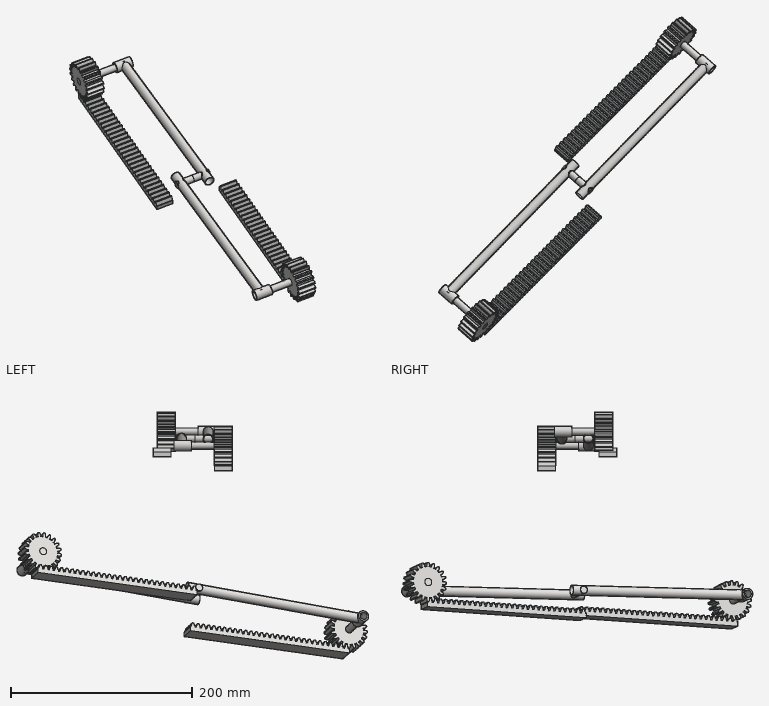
import cadquery as cq
import math


TEETH = 20
PITCH_RADIUS = 20.0
MODULE = 2 * PITCH_RADIUS / TEETH
ADDENDUM = MODULE
DEDENDUM = 1.25 * MODULE
PRESSURE_ANGLE = math.radians(20)
TOOTH_PITCH = math.pi * MODULE
TIP_RADIUS = PITCH_RADIUS + ADDENDUM
ROOT_RADIUS = PITCH_RADIUS - DEDENDUM
BASE_RADIUS = PITCH_RADIUS * math.cos(PRESSURE_ANGLE)

GEAR_WIDTH = 20.2
GEAR_1_TURN = math.radians(90)
GEAR_2_TURN = math.radians(94)
GEAR_2_X = 387.0
GEAR_2_Y = 63.0
GEAR_2_Z = 15.5

TOTAL_WIDTH = 87.5
RACK_TEETH = 30
RACK_LENGTH = RACK_TEETH * TOOTH_PITCH
RACK_WIDTH = 20.0
RACK_HEIGHT = 9.7
RACK_TIP_Z = -PITCH_RADIUS + ADDENDUM
RACK_ROOT_Z = -PITCH_RADIUS - DEDENDUM
RACK_BOTTOM_Z = RACK_TIP_Z - RACK_HEIGHT
RACK_1_LEFT = -0.65
RACK_2_RIGHT = TOOTH_PITCH + PITCH_RADIUS * (GEAR_2_TURN - GEAR_1_TURN)
RACK_2_LEFT = RACK_2_RIGHT - RACK_LENGTH
RACK_2_Y = TOTAL_WIDTH - RACK_WIDTH

ARM_SLOPE = math.degrees(math.atan2(GEAR_2_Z, GEAR_2_X))
ARM_LENGTH = math.hypot(GEAR_2_X, GEAR_2_Z) / 2
ARM_OVERHANG = 12.5
ROD_DIAMETER = 11.0
ROD_BORE = 10.0
ROD_1_Y = 56.0
ROD_2_Y = 26.5
HEAD_DIAMETER = 12.0
HEAD_LENGTH = 19.5
HEAD_1_Y = 45.2
HEAD_2_Y = 18.5
STUB_DIAMETER = 8.0
JOINT_Y = 41.5

SHAFT_DIAMETER = 8.0
SHAFT_INSERTION = 4.5


def cylinder_y(diameter, start, end, x=0.0):
    """Cylinder along Y between two Y positions, at Z = 0."""
    plane = cq.Plane(origin=(x, start, 0), xDir=(1, 0, 0), normal=(0, 1, 0))
    return cq.Workplane(plane).circle(diameter / 2).extrude(end - start)


def cylinder_x(diameter, length, y):
    """Cylinder along +X that starts at X = 0, at Z = 0."""
    return cq.Workplane("YZ").center(y, 0).circle(diameter / 2).extrude(length)


def front_plane(y):
    """Plane at a Y position with X to the right and Z up, so that extrusions run toward -Y."""
    return cq.Plane(origin=(0, y, 0), xDir=(1, 0, 0), normal=(0, -1, 0))


def polar(radius, angle):
    return (radius * math.cos(angle), radius * math.sin(angle))


def involute(angle):
    return math.tan(angle) - angle


def half_tooth_angle(radius):
    """Half of the angle that an involute tooth fills at a radius."""
    half_at_pitch = math.pi / (2 * TEETH)
    pressure_angle_here = math.acos(BASE_RADIUS / radius)
    return half_at_pitch + involute(PRESSURE_ANGLE) - involute(pressure_angle_here)


def make_gear(start_y, turn):
    """Spur gear around the Y axis with a shaft bore; turn is the angle of one tooth from +X."""
    base_half = half_tooth_angle(BASE_RADIUS)
    pitch_half = half_tooth_angle(PITCH_RADIUS)
    tip_half = half_tooth_angle(TIP_RADIUS)
    step = 2 * math.pi / TEETH
    end_y = start_y + GEAR_WIDTH

    outline = cq.Workplane(front_plane(end_y)).moveTo(*polar(ROOT_RADIUS, turn - base_half))
    for tooth in range(TEETH):
        middle = turn + tooth * step
        outline = outline.lineTo(*polar(BASE_RADIUS, middle - base_half))
        outline = outline.threePointArc(
            polar(PITCH_RADIUS, middle - pitch_half), polar(TIP_RADIUS, middle - tip_half)
        )
        outline = outline.threePointArc(
            polar(TIP_RADIUS, middle), polar(TIP_RADIUS, middle + tip_half)
        )
        outline = outline.threePointArc(
            polar(PITCH_RADIUS, middle + pitch_half), polar(BASE_RADIUS, middle + base_half)
        )
        outline = outline.lineTo(*polar(ROOT_RADIUS, middle + base_half))
        outline = outline.threePointArc(
            polar(ROOT_RADIUS, middle + step / 2), polar(ROOT_RADIUS, middle + step - base_half)
        )
    blank = outline.close().extrude(GEAR_WIDTH)
    return blank.cut(cylinder_y(SHAFT_DIAMETER, start_y, end_y))


def make_rack(left, start_y):
    """Rack below a gear on the Y axis; each end lies in the middle of a tooth space."""
    right = left + RACK_LENGTH
    tip_half = TOOTH_PITCH / 4 - ADDENDUM * math.tan(PRESSURE_ANGLE)
    root_half = TOOTH_PITCH / 4 + DEDENDUM * math.tan(PRESSURE_ANGLE)

    outline = cq.Workplane(front_plane(start_y + RACK_WIDTH))
    outline = outline.moveTo(left, RACK_BOTTOM_Z).lineTo(left, RACK_ROOT_Z)
    for tooth in range(RACK_TEETH):
        middle = left + (tooth + 0.5) * TOOTH_PITCH
        outline = outline.lineTo(middle - root_half, RACK_ROOT_Z)
        outline = outline.lineTo(middle - tip_half, RACK_TIP_Z)
        outline = outline.lineTo(middle + tip_half, RACK_TIP_Z)
        outline = outline.lineTo(middle + root_half, RACK_ROOT_Z)
    outline = outline.lineTo(right, RACK_ROOT_Z).lineTo(right, RACK_BOTTOM_Z)
    return outline.close().extrude(RACK_WIDTH)


def make_arm(rod_y, head_y, joint_side):
    """Hollow arm along +X: cross tube on the Y axis, tubular rod, and a stub across its far end.

    joint_side is +1 or -1, the Y direction from the rod to the joint face. The stub starts
    level with the far side of the rod, crosses its bore and ends at the joint face.
    """
    rod_length = ARM_LENGTH + ARM_OVERHANG
    head_end = head_y + HEAD_LENGTH
    head = cylinder_y(HEAD_DIAMETER, head_y, head_end)
    rod = cylinder_x(ROD_DIAMETER, rod_length, rod_y)
    tubes = head.union(rod)
    tubes = tubes.cut(cylinder_x(ROD_BORE, rod_length, rod_y))
    tubes = tubes.cut(cylinder_y(SHAFT_DIAMETER, head_y, head_end))

    far_side_y = rod_y - joint_side * ROD_DIAMETER / 2
    stub_start = min(far_side_y, JOINT_Y)
    stub_end = max(far_side_y, JOINT_Y)
    return tubes.union(cylinder_y(STUB_DIAMETER, stub_start, stub_end, ARM_LENGTH))


def make_shaft(start_y, end_y):
    """Plain shaft on the Y axis, from inside an arm head to the outer face of a gear."""
    return cylinder_y(SHAFT_DIAMETER, start_y, end_y)


def turn_about_y(body, degrees):
    return body.rotate((0, 0, 0), (0, 1, 0), degrees)


def to_second_axis(body):
    """Move a body from the axis of the first gear to that of the second."""
    return body.translate((GEAR_2_X, 0, GEAR_2_Z))


gear_1 = make_gear(0, GEAR_1_TURN)
rack_1 = make_rack(RACK_1_LEFT, 0).cut(gear_1)

gear_2 = make_gear(GEAR_2_Y, GEAR_2_TURN)
rack_2 = make_rack(RACK_2_LEFT, RACK_2_Y).cut(gear_2)

arm_1 = turn_about_y(make_arm(ROD_1_Y, HEAD_1_Y, -1), -ARM_SLOPE)
arm_2 = turn_about_y(make_arm(ROD_2_Y, HEAD_2_Y, 1), 180 - ARM_SLOPE)

shaft_1 = make_shaft(0, HEAD_1_Y + SHAFT_INSERTION)
shaft_2 = make_shaft(HEAD_2_Y + HEAD_LENGTH - SHAFT_INSERTION, GEAR_2_Y + GEAR_WIDTH)

first_set = [gear_1, rack_1, arm_1, shaft_1]
second_set = [to_second_axis(body) for body in (gear_2, rack_2, arm_2, shaft_2)]

result = cq.Compound.makeCompound([body.val() for body in first_set + second_set])